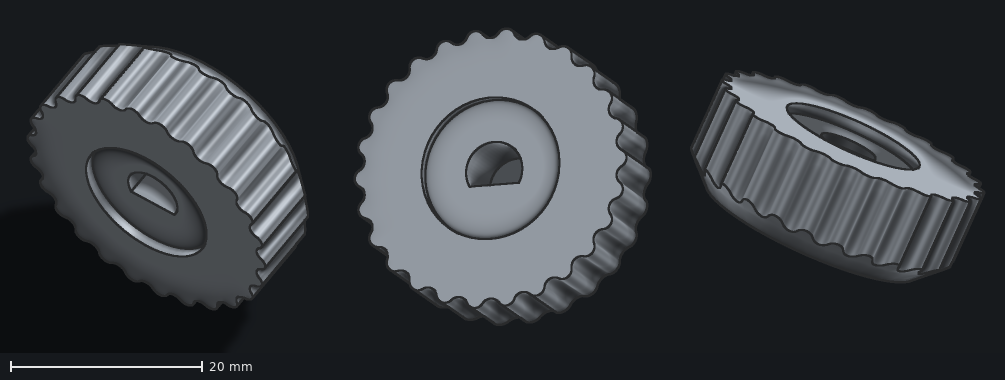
import cadquery as cq
import math

outer_diameter = 30.0
thickness = 11.0
rim_chamfer = 3.0

lobe_count = 26
lobe_radius = 1.0

recess_diameter = 15.2
recess_depth = 1.2

shaft_diameter = 6.2
shaft_flat_offset = 1.5
back_wall_thickness = 2.0

outer_radius = outer_diameter / 2
lobe_center_radius = outer_radius - lobe_radius
valley_radius = lobe_center_radius
half_pitch = math.pi / lobe_count

pitch_sag = valley_radius * (1 - math.cos(half_pitch))
groove_radius = (2 * valley_radius * pitch_sag - lobe_radius**2) / (2 * (lobe_radius - pitch_sag))
groove_center_radius = valley_radius + groove_radius


def polar(radius, angle):
    return radius * math.cos(angle), radius * math.sin(angle)


def tangent_point(lobe_angle, groove_angle):
    """Point where a lobe arc meets the neighbouring groove arc."""
    lobe_x, lobe_z = polar(lobe_center_radius, lobe_angle)
    groove_x, groove_z = polar(groove_center_radius, groove_angle)
    share = lobe_radius / (lobe_radius + groove_radius)
    return lobe_x + share * (groove_x - lobe_x), lobe_z + share * (groove_z - lobe_z)


def make_scalloped_body():
    outline = cq.Workplane("XZ").moveTo(*tangent_point(0, -half_pitch))
    for index in range(lobe_count):
        lobe_angle = 2 * half_pitch * index
        groove_angle = lobe_angle + half_pitch
        next_lobe_angle = groove_angle + half_pitch
        lobe_tip = polar(outer_radius, lobe_angle)
        valley = polar(valley_radius, groove_angle)
        outline = outline.threePointArc(lobe_tip, tangent_point(lobe_angle, groove_angle))
        outline = outline.threePointArc(valley, tangent_point(next_lobe_angle, groove_angle))
    return outline.close().extrude(-thickness)


def make_chamfered_envelope():
    blank = cq.Workplane("XZ").circle(outer_radius).extrude(-thickness)
    return blank.faces(">Y").chamfer(rim_chamfer)


def make_recess():
    return cq.Workplane("XZ").circle(recess_diameter / 2).extrude(-recess_depth)


def make_shaft_hole():
    shaft_radius = shaft_diameter / 2
    hole_depth = thickness - back_wall_thickness
    half_flat = math.sqrt(shaft_radius**2 - shaft_flat_offset**2)
    return (
        cq.Workplane("XZ")
        .moveTo(half_flat, -shaft_flat_offset)
        .threePointArc((0, shaft_radius), (-half_flat, -shaft_flat_offset))
        .close()
        .extrude(-hole_depth)
    )


knob = make_scalloped_body().intersect(make_chamfered_envelope())
result = knob.cut(make_recess()).cut(make_shaft_hole())